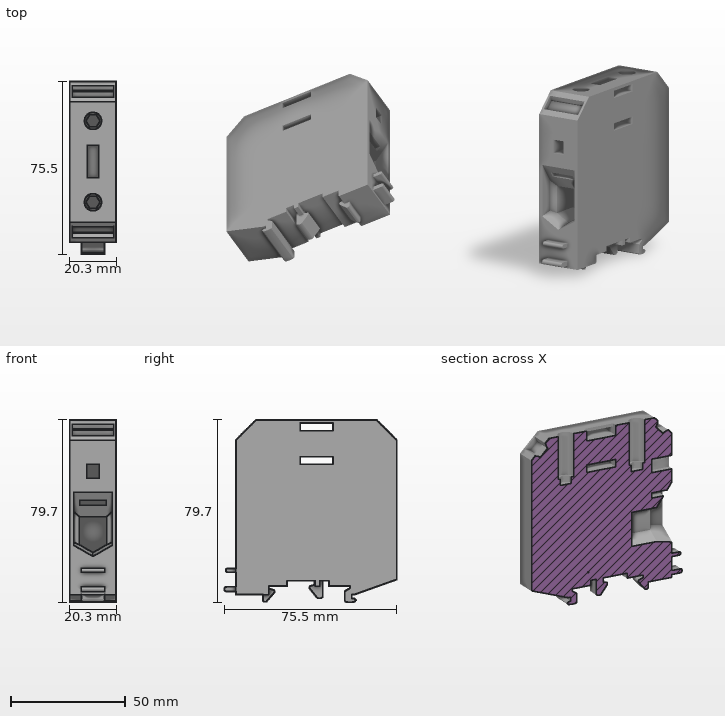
import cadquery as cq
import math

HEIGHT = 79.7
WIDTH = 20.3
TOTAL_LENGTH = 75.45
LONG_PIN = 5.1
LENGTH = TOTAL_LENGTH - LONG_PIN
FRONT = -LENGTH / 2
BACK = LENGTH / 2

TOP_BEVEL = 8.85
BEVEL_ANGLE = 45
BASE_Z = 3.45
RAIL_Z = 7.15
RECESS_Z = 9.45
BACK_LOW_Z = 10.0
RAIL_FRONT_Y = -20.7
RECESS_FRONT_Y = -12.7
RECESS_BACK_Y = 5.45
RAIL_BACK_Y = 14.7
TAB_FRONT_Y = -0.55
TAB_BACK_Y = 1.4
SEAT_BEVEL = 0.3

HOOK_FRONT_Y = 12.4
HOOK_NECK_Y = 15.5
HOOK_LEDGE = 1.3
HOOK_TIP_Y = 17.35
HOOK_TIP_LENGTH = 0.75
HOOK_LIP_Z = 4.9
HOOK_LIP_DROP = 0.85
HOOK_TOP_Z = 1.75
HOOK_TIP_Z = 1.05
HOOK_BASE_Z = 0.2
HOOK_CORNER = 0.45

LABEL_WIDTH = 18.2
LABEL_LENGTH = 7.0
LABEL_LEAN = 0.95
LABEL_LEAN_DEPTH = 1.9
LABEL_DEPTH = 2.65

WELL_Y = 17.75
WELL_DIAMETER = 7.5
WELL_DEPTH = 20.0
HEX_CORNERS = 6.1
HEX_DEPTH = 3.0

FEATURE_Y = 0.12
WINDOW_LENGTH = 14.2
WINDOW_HEIGHT = 3.25
WINDOW_DROPS = (1.42, 16.1)
SLOT_WIDTH = 5.0

TEST_WIDTH = 5.3
TEST_HEIGHT = 6.1
TEST_MID_Z = 57.35
TEST_DEPTH = 10.0

ENTRY_HALF_WIDTH = 8.5
BORE_HALF_WIDTH = 5.93
ENTRY_TOP_Z = 48.1
BORE_TOP_Z = 37.4
ENTRY_LOW_Z = 20.1
BORE_LOW_Z = 21.75
V_ANGLE = 30
V_SLOPE = math.tan(math.radians(V_ANGLE))
STRAIGHT_DEPTH = 6.0
FUNNEL_DEPTH = 7.7
ENTRY_DEPTH = 20.0
ROOF_SLOT_WIDTH = 11.6
ROOF_SLOT_LOW_Z = 42.45
ROOF_SLOT_HEIGHT = 2.2
ROOF_SLOT_START = 2.3
ROOF_SLOT_END = 10.0

INSERT_WIDTH = 10.2
PIN_ROOT = 2.0
SHORT_PIN = 4.4
SHORT_PIN_THICKNESS = 1.8
SHORT_PIN_Z = 14.0
LONG_PIN_THICKNESS = 2.1
LONG_PIN_Z = 5.8

FRONT_CLIP_FRONT_Y = -23.35
FRONT_CLIP_BASE_Z = 0.2
FRONT_CLIP_BASE_BACK_Y = -21.9
FRONT_CLIP_CORNER = 0.9
FRONT_CLIP_NOSE_LOW = (-18.4, 4.2)
FRONT_CLIP_NOSE_HIGH = (-18.9, 5.55)
FRONT_CLIP_ROOT_Z = 6.15
FRONT_CLIP_NOSE_RADIUS = 0.85

MIDDLE_CLIP_BACK_Y = 2.9
MIDDLE_CLIP_FRONT_Y = -0.8
MIDDLE_CLIP_BASE_BACK_Z = 2.5
MIDDLE_CLIP_BASE_FRONT = (0.3, 2.0)
MIDDLE_CLIP_BASE_RADIUS = 2.0
MIDDLE_CLIP_NOSE_LOW = (-2.85, 6.0)
MIDDLE_CLIP_NOSE_HIGH = (-2.7, 7.2)
MIDDLE_CLIP_NOSE_RADIUS = 0.9
MIDDLE_CLIP_NECK_Z = 7.75
MIDDLE_CLIP_ROOT = 1.0


def box(width, y_range, z_range):
    """Box centred on X that spans the given Y and Z ranges."""
    (y0, y1), (z0, z1) = y_range, z_range
    return cq.Workplane("XY").box(width, y1 - y0, z1 - z0).translate((0, (y0 + y1) / 2, (z0 + z1) / 2))


def across(outline, width):
    """Extrude a closed YZ outline symmetrically along X."""
    return outline.close().extrude(width / 2, both=True)


def make_housing():
    outline = (
        cq.Workplane("YZ")
        .moveTo(FRONT, BASE_Z)
        .lineTo(FRONT, HEIGHT - TOP_BEVEL)
        .lineTo(FRONT + TOP_BEVEL, HEIGHT)
        .lineTo(BACK - TOP_BEVEL, HEIGHT)
        .lineTo(BACK, HEIGHT - TOP_BEVEL)
        .lineTo(BACK, BACK_LOW_Z)
        .lineTo(HOOK_NECK_Y + HOOK_LEDGE, BASE_Z)
        .lineTo(HOOK_NECK_Y, BASE_Z)
        .lineTo(HOOK_NECK_Y, HOOK_TOP_Z)
        .lineTo(HOOK_TIP_Y - HOOK_TIP_LENGTH, HOOK_TOP_Z)
        .lineTo(HOOK_TIP_Y, HOOK_TIP_Z)
        .lineTo(HOOK_TIP_Y - HOOK_TIP_LENGTH, HOOK_BASE_Z)
        .threePointArc(((HOOK_FRONT_Y + HOOK_TIP_Y) / 2, 0), (HOOK_FRONT_Y + HOOK_CORNER, HOOK_BASE_Z))
        .lineTo(HOOK_FRONT_Y, HOOK_BASE_Z + HOOK_CORNER)
        .lineTo(HOOK_FRONT_Y, HOOK_LIP_Z)
        .lineTo(RAIL_BACK_Y, RAIL_Z - HOOK_LIP_DROP)
        .lineTo(RAIL_BACK_Y, RAIL_Z)
        .lineTo(RECESS_BACK_Y, RAIL_Z)
        .lineTo(RECESS_BACK_Y, RECESS_Z)
        .lineTo(TAB_BACK_Y, RECESS_Z)
        .lineTo(TAB_BACK_Y, RAIL_Z)
        .lineTo(TAB_FRONT_Y, RAIL_Z)
        .lineTo(TAB_FRONT_Y, RECESS_Z)
        .lineTo(RECESS_FRONT_Y, RECESS_Z)
        .lineTo(RECESS_FRONT_Y, RAIL_Z)
        .lineTo(RAIL_FRONT_Y, RAIL_Z)
        .lineTo(RAIL_FRONT_Y, BASE_Z + SEAT_BEVEL)
        .lineTo(RAIL_FRONT_Y - SEAT_BEVEL, BASE_Z)
    )
    return across(outline, WIDTH)


def make_label_pocket():
    """Pocket cutter for the front bevel."""
    half = LABEL_LENGTH / 2
    floor_half = half - LABEL_LEAN
    profile = across(
        cq.Workplane("YZ").polyline([
            (-half, 0),
            (half, 0),
            (floor_half, -LABEL_LEAN_DEPTH),
            (floor_half, -LABEL_DEPTH),
            (-floor_half, -LABEL_DEPTH),
            (-floor_half, -LABEL_LEAN_DEPTH),
        ]),
        LABEL_WIDTH,
    )
    tilted = profile.rotate((0, 0, 0), (1, 0, 0), BEVEL_ANGLE)
    return tilted.translate((0, FRONT + TOP_BEVEL / 2, HEIGHT - TOP_BEVEL / 2))


def make_screw_well(y):
    top = cq.Workplane("XY", origin=(0, y, HEIGHT))
    well = top.circle(WELL_DIAMETER / 2).extrude(-WELL_DEPTH)
    socket = top.polygon(6, HEX_CORNERS).extrude(-WELL_DEPTH - HEX_DEPTH)
    return well.union(socket)


def make_windows():
    y_range = (FEATURE_Y - WINDOW_LENGTH / 2, FEATURE_Y + WINDOW_LENGTH / 2)
    cutter = box(SLOT_WIDTH, y_range, (HEIGHT - WINDOW_DROPS[0] - WINDOW_HEIGHT, HEIGHT))
    for drop in WINDOW_DROPS:
        roof = HEIGHT - drop
        cutter = cutter.union(box(WIDTH, y_range, (roof - WINDOW_HEIGHT, roof)))
    return cutter


def make_v_channel(half_width, low_z, run, rise):
    """V-floored channel from the front wall; its floor climbs by rise over the length run."""
    shoulder_z = low_z + half_width * V_SLOPE
    section = cq.Wire.makePolygon(
        [
            cq.Vector(0, FRONT, low_z),
            cq.Vector(half_width, FRONT, shoulder_z),
            cq.Vector(half_width, FRONT, ENTRY_TOP_Z),
            cq.Vector(-half_width, FRONT, ENTRY_TOP_Z),
            cq.Vector(-half_width, FRONT, shoulder_z),
        ],
        close=True,
    )
    return cq.Workplane(cq.Solid.extrudeLinear(section, [], cq.Vector(0, run, rise)))


def make_wire_entry():
    plan = (
        cq.Workplane("XY")
        .polyline([
            (-ENTRY_HALF_WIDTH, FRONT),
            (-ENTRY_HALF_WIDTH, FRONT + STRAIGHT_DEPTH),
            (-BORE_HALF_WIDTH, FRONT + FUNNEL_DEPTH),
            (BORE_HALF_WIDTH, FRONT + FUNNEL_DEPTH),
            (ENTRY_HALF_WIDTH, FRONT + STRAIGHT_DEPTH),
            (ENTRY_HALF_WIDTH, FRONT),
        ])
        .close()
        .extrude(HEIGHT)
    )
    v_funnel = make_v_channel(ENTRY_HALF_WIDTH, ENTRY_LOW_Z, FUNNEL_DEPTH, BORE_LOW_Z - ENTRY_LOW_Z)
    under_roof = across(
        cq.Workplane("YZ").polyline([
            (FRONT, 0),
            (FRONT, ENTRY_TOP_Z),
            (FRONT + FUNNEL_DEPTH, BORE_TOP_Z),
            (FRONT + ENTRY_DEPTH, BORE_TOP_Z),
            (FRONT + ENTRY_DEPTH, 0),
        ]),
        WIDTH,
    )
    funnel = plan.intersect(v_funnel).intersect(under_roof)
    bore = make_v_channel(BORE_HALF_WIDTH, BORE_LOW_Z, ENTRY_DEPTH, 0).intersect(under_roof)
    roof_slot = box(
        ROOF_SLOT_WIDTH,
        (FRONT + ROOF_SLOT_START, FRONT + ROOF_SLOT_END),
        (ROOF_SLOT_LOW_Z, ROOF_SLOT_LOW_Z + ROOF_SLOT_HEIGHT),
    )
    return funnel.union(bore).union(roof_slot)


def make_pin(length, thickness, mid_z):
    """Flat pin on the front wall with a fully rounded end."""
    radius = thickness / 2
    round_y = FRONT - length + radius
    outline = (
        cq.Workplane("YZ")
        .moveTo(FRONT + PIN_ROOT, mid_z - radius)
        .lineTo(round_y, mid_z - radius)
        .threePointArc((FRONT - length, mid_z), (round_y, mid_z + radius))
        .lineTo(FRONT + PIN_ROOT, mid_z + radius)
    )
    return across(outline, INSERT_WIDTH)


def make_front_clip():
    outline = (
        cq.Workplane("YZ")
        .moveTo(FRONT_CLIP_FRONT_Y, RAIL_Z)
        .lineTo(FRONT_CLIP_FRONT_Y, FRONT_CLIP_BASE_Z + FRONT_CLIP_CORNER)
        .radiusArc((FRONT_CLIP_FRONT_Y + FRONT_CLIP_CORNER, FRONT_CLIP_BASE_Z), -FRONT_CLIP_CORNER)
        .lineTo(FRONT_CLIP_BASE_BACK_Y, FRONT_CLIP_BASE_Z)
        .lineTo(*FRONT_CLIP_NOSE_LOW)
        .radiusArc(FRONT_CLIP_NOSE_HIGH, -FRONT_CLIP_NOSE_RADIUS)
        .lineTo(RAIL_FRONT_Y, FRONT_CLIP_ROOT_Z)
        .lineTo(RAIL_FRONT_Y, RAIL_Z)
    )
    return across(outline, INSERT_WIDTH)


def make_middle_clip():
    root_z = RECESS_Z + MIDDLE_CLIP_ROOT
    outline = (
        cq.Workplane("YZ")
        .moveTo(MIDDLE_CLIP_BACK_Y, root_z)
        .lineTo(MIDDLE_CLIP_BACK_Y, MIDDLE_CLIP_BASE_BACK_Z)
        .radiusArc(MIDDLE_CLIP_BASE_FRONT, MIDDLE_CLIP_BASE_RADIUS)
        .lineTo(*MIDDLE_CLIP_NOSE_LOW)
        .radiusArc(MIDDLE_CLIP_NOSE_HIGH, MIDDLE_CLIP_NOSE_RADIUS)
        .lineTo(MIDDLE_CLIP_FRONT_Y, MIDDLE_CLIP_NECK_Z)
        .lineTo(MIDDLE_CLIP_FRONT_Y, root_z)
    )
    return across(outline, INSERT_WIDTH)


label_pocket = make_label_pocket()
test_hole = box(
    TEST_WIDTH,
    (FRONT, FRONT + TEST_DEPTH),
    (TEST_MID_Z - TEST_HEIGHT / 2, TEST_MID_Z + TEST_HEIGHT / 2),
)

result = (
    make_housing()
    .cut(label_pocket)
    .cut(label_pocket.mirror("XZ"))
    .cut(make_screw_well(FEATURE_Y - WELL_Y))
    .cut(make_screw_well(FEATURE_Y + WELL_Y))
    .cut(make_windows())
    .cut(test_hole)
    .cut(make_wire_entry())
    .union(make_pin(SHORT_PIN, SHORT_PIN_THICKNESS, SHORT_PIN_Z))
    .union(make_pin(LONG_PIN, LONG_PIN_THICKNESS, LONG_PIN_Z))
    .union(make_front_clip())
    .union(make_middle_clip())
)